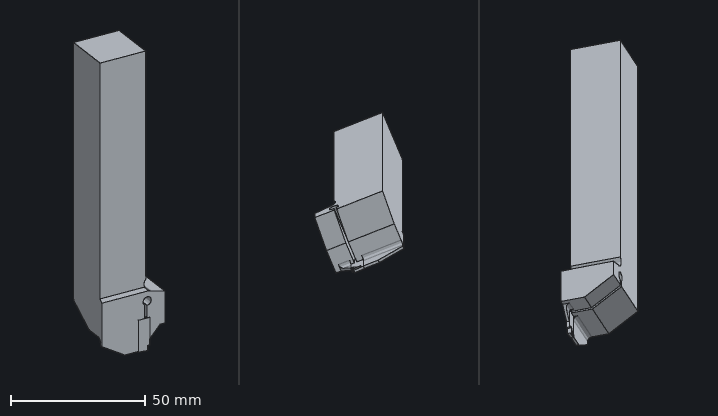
import cadquery as cq
import math

TOTAL_HEIGHT = 125.0
SHANK_SIDE = 19.8
HEAD_WIDTH = 21.0
HEAD_DEPTH = 27.4
HEAD_STEP_Z = 25.0
HEAD_FLOOR_Z = 9.6
SLOPE_TOP_Z = 17.1
SLOPE_END_X = 11.5
BLADE_INNER_X = 19.9
BLADE_FILLET = 1.6

BLADE_BOTTOM_Z = 0.6
BLADE_HEEL_Z = 6.6
BLADE_HEEL_END_Y = 9.9
BLADE_NOSE_Y = 25.2
BLADE_NOSE_END_Y = 17.1

RELIEF_RADIUS = 2.9
RELIEF_Y = 21.9
RELIEF_Z = 27.5
SHOULDER_ANGLE = math.radians(15)

HOLE_RADIUS = 1.8
HOLE_Y = 19.6
HOLE_Z = 20.9
SLIT_START_Y = 18.5
SLIT_WIDTH = 1.0

INSERT_START_Y = 15.9
INSERT_END_Y = 20.8
INSERT_TOP_Z = 13.8
INSERT_LOW_Z = 0.31
TIP_END_Y = 19.9
TIP_STEP_Z = 2.1
TIP_TOP_Z = 2.5
TIP_PEAK_Y = 19.5
TIP_LOW_Z = 0.6
TIP_LOW_START_Y = 16.8
TIP_LOW_END_Y = 18.2
TIP_OVERHANG = 0.5


def make_front_profile():
    """Outline in X and Z, extruded along the full depth."""
    step_rise = HEAD_WIDTH - SHANK_SIDE
    arc_middle = BLADE_FILLET * (1 - math.sqrt(0.5))
    return (
        cq.Workplane("XZ")
        .moveTo(0, TOTAL_HEIGHT)
        .lineTo(SHANK_SIDE, TOTAL_HEIGHT)
        .lineTo(SHANK_SIDE, HEAD_STEP_Z + step_rise)
        .lineTo(HEAD_WIDTH, HEAD_STEP_Z)
        .lineTo(HEAD_WIDTH, 0)
        .lineTo(BLADE_INNER_X, 0)
        .lineTo(BLADE_INNER_X, HEAD_FLOOR_Z - BLADE_FILLET)
        .threePointArc(
            (BLADE_INNER_X - arc_middle, HEAD_FLOOR_Z - arc_middle),
            (BLADE_INNER_X - BLADE_FILLET, HEAD_FLOOR_Z),
        )
        .lineTo(SLOPE_END_X, HEAD_FLOOR_Z)
        .lineTo(0, SLOPE_TOP_Z)
        .close()
        .extrude(-HEAD_DEPTH)
    )


def make_side_profile():
    """Outline in Y and Z, extruded along the full width."""
    relief_rise = math.sqrt(RELIEF_RADIUS**2 - (RELIEF_Y - SHANK_SIDE) ** 2)
    tangent_y = RELIEF_Y - RELIEF_RADIUS * math.sin(SHOULDER_ANGLE)
    tangent_z = RELIEF_Z - RELIEF_RADIUS * math.cos(SHOULDER_ANGLE)
    shoulder_drop = (HEAD_DEPTH - tangent_y) * math.tan(SHOULDER_ANGLE)
    return (
        cq.Workplane("YZ")
        .moveTo(0, TOTAL_HEIGHT)
        .lineTo(SHANK_SIDE, TOTAL_HEIGHT)
        .lineTo(SHANK_SIDE, RELIEF_Z + relief_rise)
        .threePointArc((RELIEF_Y - RELIEF_RADIUS, RELIEF_Z), (tangent_y, tangent_z))
        .lineTo(HEAD_DEPTH, tangent_z - shoulder_drop)
        .lineTo(HEAD_DEPTH, HEAD_FLOOR_Z)
        .lineTo(BLADE_NOSE_Y, HEAD_FLOOR_Z)
        .lineTo(BLADE_NOSE_END_Y, BLADE_BOTTOM_Z)
        .lineTo(BLADE_HEEL_END_Y, BLADE_BOTTOM_Z)
        .lineTo(0, BLADE_HEEL_Z)
        .close()
        .extrude(HEAD_WIDTH)
    )


def make_clamp_cut():
    """Through hole with the slit that runs down from it to the insert."""
    hole = cq.Workplane("YZ").center(HOLE_Y, HOLE_Z).circle(HOLE_RADIUS).extrude(HEAD_WIDTH)
    slit = cq.Workplane("XY").box(HEAD_WIDTH, SLIT_WIDTH, HOLE_Z - HEAD_FLOOR_Z, centered=False)
    return hole.union(slit.translate((0, SLIT_START_Y, HEAD_FLOOR_Z)))


def make_insert_pocket():
    """Slot for the insert, open below and on the +X side; it also clears the blade fillet."""
    seat = (
        cq.Workplane("XY")
        .box(HEAD_WIDTH - BLADE_INNER_X, INSERT_END_Y - INSERT_START_Y, INSERT_TOP_Z, centered=False)
        .translate((BLADE_INNER_X, INSERT_START_Y, 0))
    )
    fillet_relief = (
        cq.Workplane("XY")
        .box(BLADE_FILLET, INSERT_END_Y - INSERT_START_Y, HEAD_FLOOR_Z, centered=False)
        .translate((BLADE_INNER_X - BLADE_FILLET, INSERT_START_Y, 0))
    )
    return seat.union(fillet_relief)


def make_holder():
    blank = make_front_profile().intersect(make_side_profile())
    return blank.cut(make_clamp_cut()).cut(make_insert_pocket())


def make_insert():
    """Flat insert whose cutting tip is wider than the rest of it."""
    plate = (
        cq.Workplane("YZ", origin=(BLADE_INNER_X, 0, 0))
        .moveTo(INSERT_START_Y, INSERT_TOP_Z)
        .lineTo(INSERT_END_Y, INSERT_TOP_Z)
        .lineTo(INSERT_END_Y, TIP_STEP_Z)
        .lineTo(TIP_END_Y, TIP_STEP_Z)
        .lineTo(TIP_END_Y, 0)
        .lineTo(INSERT_START_Y, INSERT_LOW_Z)
        .close()
        .extrude(HEAD_WIDTH - BLADE_INNER_X)
    )
    tip = (
        cq.Workplane("YZ", origin=(BLADE_INNER_X - TIP_OVERHANG, 0, 0))
        .moveTo(TIP_END_Y, 0)
        .lineTo(TIP_END_Y, TIP_STEP_Z)
        .lineTo(INSERT_END_Y, TIP_STEP_Z)
        .lineTo(INSERT_END_Y, TIP_TOP_Z)
        .lineTo(TIP_PEAK_Y, TIP_TOP_Z)
        .lineTo(TIP_LOW_END_Y, TIP_LOW_Z)
        .lineTo(TIP_LOW_START_Y, TIP_LOW_Z)
        .lineTo(TIP_LOW_START_Y, INSERT_LOW_Z)
        .close()
        .extrude(HEAD_WIDTH - BLADE_INNER_X + TIP_OVERHANG)
    )
    return plate.union(tip)


holder = make_holder()
insert = make_insert()
result = cq.Compound.makeCompound([holder.solids().val(), insert.solids().val()])